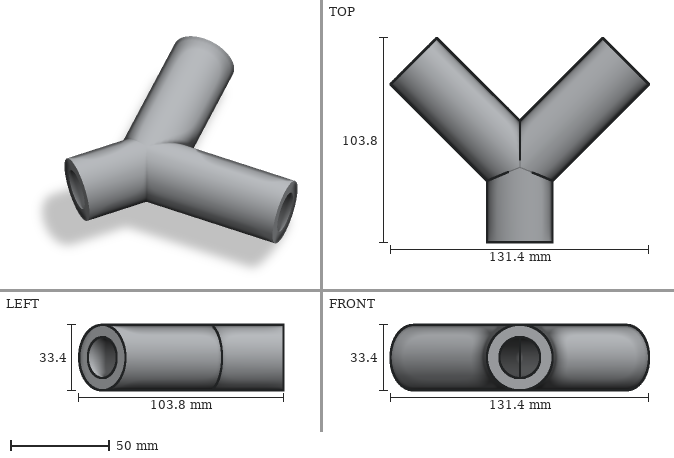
import cadquery as cq
import math

overall_width = 131.4
outer_diameter = 33.4
bore_diameter = 20.8
arm_angle = 45.0

arm_tilt = math.radians(arm_angle)
outer_radius = outer_diameter / 2
arm_length = (overall_width / 2 - outer_radius * math.sin(arm_tilt)) / math.cos(arm_tilt)
stem_length = arm_length / 2

branches = [
    (arm_angle, arm_length),
    (180 - arm_angle, arm_length),
    (270, stem_length),
]


def branch_cylinder(diameter, direction, length):
    """Solid cylinder from the origin outward along a direction in the XY plane."""
    return (
        cq.Workplane("YZ")
        .circle(diameter / 2)
        .extrude(length)
        .rotate((0, 0, 0), (0, 0, 1), direction)
    )


def joined_branches(diameter):
    """All three branches at one diameter, fused at the origin."""
    body = cq.Workplane("XY")
    for direction, length in branches:
        body = body.add(branch_cylinder(diameter, direction, length))
    return body.combine()


result = joined_branches(outer_diameter).cut(joined_branches(bore_diameter))